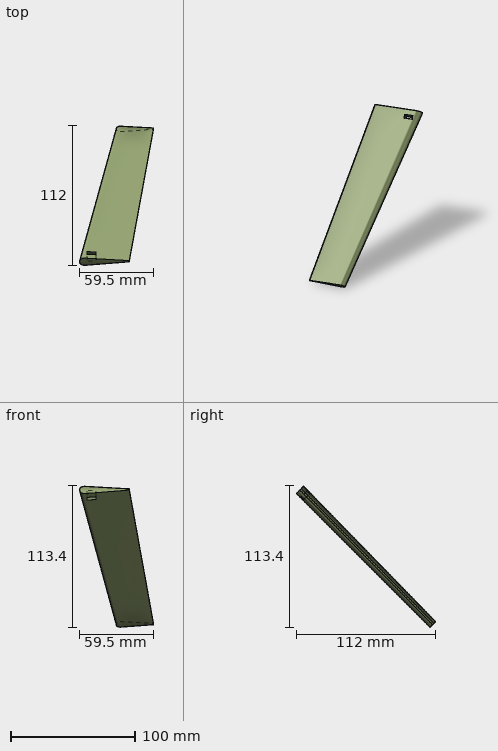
import math

import cadquery as cq

span = 152.0
sweep_angle = 11.0
root_chord = 40.0
root_nose_diameter = 8.33
tip_chord = 30.0
tip_nose_diameter = 6.37
trailing_edge_thickness = 1.5
trailing_edge_rise_ratio = 0.0137

slot_start = 6.1
slot_length = 7.05
slot_width = 3.0
slot_root_distance = 4.5

blade_plane = cq.Plane(origin=(0, 0, 0), xDir=(1, 0, 0), normal=(0, -1, 1))


def nose_point(radius, angle):
    """Point on a nose circle that touches both local axes."""
    return (radius + radius * math.cos(angle), radius + radius * math.sin(angle))


def tangent_angle(radius, corner, side):
    """Angle on the nose circle where the line to `corner` is tangent (side 1 above, -1 below)."""
    dx = corner[0] - radius
    dy = corner[1] - radius
    return math.atan2(dy, dx) + side * math.acos(radius / math.hypot(dx, dy))


def section_outline(workplane, chord, nose_diameter):
    """Round nose and two straight faces tangent to it, ending at a blunt trailing edge."""
    radius = nose_diameter / 2
    edge_middle = radius + chord * trailing_edge_rise_ratio
    edge_top = (chord, edge_middle + trailing_edge_thickness / 2)
    edge_bottom = (chord, edge_middle - trailing_edge_thickness / 2)
    upper = tangent_angle(radius, edge_top, 1)
    lower = tangent_angle(radius, edge_bottom, -1)
    leading_edge = nose_point(radius, math.pi)
    return (
        workplane.moveTo(*edge_bottom)
        .lineTo(*edge_top)
        .lineTo(*nose_point(radius, upper))
        .threePointArc(nose_point(radius, (upper + math.pi) / 2), leading_edge)
        .threePointArc(nose_point(radius, (lower - math.pi) / 2), nose_point(radius, lower))
        .close()
    )


def make_blade():
    """Ruled loft from the root section to the smaller, swept tip section."""
    tip_shift = span * math.tan(math.radians(sweep_angle))
    root = section_outline(cq.Workplane(blade_plane), root_chord, root_nose_diameter)
    tip_workplane = root.workplane(offset=-span).center(tip_shift, 0)
    return section_outline(tip_workplane, tip_chord, tip_nose_diameter).loft(ruled=True)


def make_slot():
    """Cutter for the slot, reaching past both faces of the blade."""
    return (
        cq.Workplane(blade_plane)
        .workplane(offset=-slot_root_distance)
        .center(slot_start + slot_length / 2, root_nose_diameter / 2)
        .rect(slot_length, 2 * root_nose_diameter)
        .extrude(-slot_width)
    )


result = make_blade().cut(make_slot())